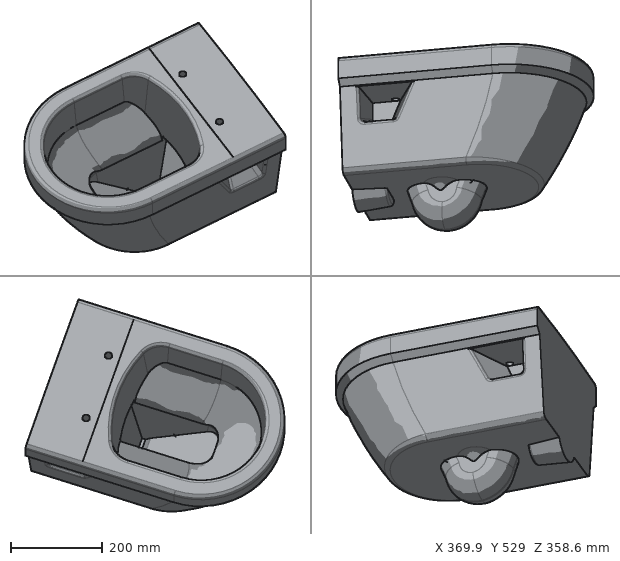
import cadquery as cq
import math


length = 529.0
rim_half_width = 184.95
rim_edge_round = 9.5
rim_height = 65.5
rim_inset = 15.6
rim_inset_height = 14.0
deck_length = 130.0
deck_crown = 4.0
deck_faded_crown = 0.1

body_bottom = -260.5
body_middle = -158.0
body_top_half_width = rim_half_width - rim_inset
body_middle_half_width = 157.0
body_bottom_half_width = 142.5
body_top_front = -length + rim_inset
body_middle_front = -473.5
body_bottom_front = -414.0
body_bottom_round = 15.0

opening_half_width = 141.0
opening_rear = -152.0
opening_front = -487.5
opening_edge_round = 8.0
wall_taper = 7.0
rear_bow_radius = 275.0
rear_corner = 53.0
bed_top = -74.0
bed_top_half_width = 132.5
bed_top_front = -479.0
bed_middle = -108.5
bed_middle_half_width = 108.5
bed_middle_front = -453.5
shoulder = -133.5
shoulder_half_width = 68.0
shoulder_front = -407.5

throat_half_width = 48.0
throat_rear = -164.0
throat_front = -378.0
throat_top = -159.0
throat_corner = 32.0
throat_rise = 13.0
throat_taper = 5.0
well_rear = -197.5
well_front = -216.0
well_length = 8.0
well_bottom = -325.5
well_step = -312.0

trap_half_width = 48.0
trap_bottom = -354.5
trap_bottom_y = -198.5
trap_rear = -114.0
trap_front = -294.0
trap_bend = -288.5
trap_rear_bend = -125.5
trap_front_bend = -280.5
trap_rear_bulge = (-150.0, -332.5)
trap_front_bulge = (-251.5, -337.5)
trap_round = 46.5
flare_centre_x = 35.0
flare_centre_y = -199.5
flare_radius = 43.5
flare_depth = 29.0
flare_tip_radius = 11.5

outlet_radius = 51.0
outlet_bottom = -291.0
outlet_tip_radius = 44.0
outlet_length = 76.5
outlet_edge_round = 5.5

recess_inner_x = 69.0
recess_inner_rear = -51.5
recess_inner_front_top = -114.0
recess_inner_front_bottom = -94.0
recess_inner_bottom = -116.5
recess_outer_x = 174.5
recess_outer_rear = -41.5
recess_outer_front_top = -165.5
recess_outer_front_bottom = -129.5
recess_outer_bottom = -155.5
recess_top = -68.5
recess_corner = 9.5
recess_edge_round = 6.5
hole_diameter = 16.0
hole_x = 77.0
hole_y = -105.0

OVERLAP = 5.5


def d_outline(z, half_width, front):
    """Plan outline: straight sides from the wall and a half-round front."""
    arc_y = front + half_width
    return (
        cq.Workplane("XY", origin=(0, 0, z))
        .moveTo(-half_width, 0)
        .lineTo(-half_width, arc_y)
        .threePointArc((0, front), (half_width, arc_y))
        .lineTo(half_width, 0)
        .close()
    )


def bowl_outline(z, half_width, rear, front, bow_radius, corner):
    """Bowl outline: half-round front and a bowed rear with tangent round corners."""
    bow_y = rear - bow_radius
    corner_x = half_width - corner
    side_y = bow_y + math.sqrt((bow_radius - corner) ** 2 - corner_x**2)
    bow_angle = math.atan2(side_y - bow_y, corner_x)
    end_x = bow_radius * math.cos(bow_angle)
    end_y = bow_y + bow_radius * math.sin(bow_angle)
    middle_x = corner_x + corner * math.cos(bow_angle / 2)
    middle_y = side_y + corner * math.sin(bow_angle / 2)
    arc_y = front + half_width
    return (
        cq.Workplane("XY", origin=(0, 0, z))
        .moveTo(-end_x, end_y)
        .threePointArc((-middle_x, middle_y), (-half_width, side_y))
        .lineTo(-half_width, arc_y)
        .threePointArc((0, front), (half_width, arc_y))
        .lineTo(half_width, side_y)
        .threePointArc((middle_x, middle_y), (end_x, end_y))
        .threePointArc((0, rear), (-end_x, end_y))
        .close()
    )


def loft(sections, ruled):
    wires = [section.val() for section in sections]
    return cq.Workplane(cq.Solid.makeLoft(wires, ruled))


def rim():
    upper = d_outline(rim_inset_height - rim_height, rim_half_width, -length)
    upper = upper.extrude(rim_height - rim_inset_height)
    upper = upper.faces(">Z").edges("not >Y").fillet(rim_edge_round)
    lower = loft(
        [
            d_outline(rim_inset_height - rim_height, rim_half_width, -length),
            d_outline(-rim_height, body_top_half_width, body_top_front),
        ],
        True,
    )
    return upper.union(lower)


def deck():
    """Arched cap of the rear deck, fading out toward the bowl."""
    half_width = rim_half_width - rim_edge_round

    def arch(y, crown):
        return (
            cq.Workplane("XZ", origin=(0, y, 0))
            .moveTo(-half_width, -OVERLAP)
            .lineTo(-half_width, 0)
            .threePointArc((0, crown), (half_width, 0))
            .lineTo(half_width, -OVERLAP)
            .close()
        )

    return loft([arch(0, deck_crown), arch(-deck_length, deck_faded_crown)], True)


def body():
    shell = loft(
        [
            d_outline(-rim_height, body_top_half_width, body_top_front),
            d_outline(body_middle, body_middle_half_width, body_middle_front),
            d_outline(body_bottom, body_bottom_half_width, body_bottom_front),
        ],
        False,
    )
    return shell.faces("<Z").edges("not >Y").fillet(body_bottom_round)


def trap():
    """U-shaped bulge in side profile, with a fully rounded underside."""
    top = body_bottom + OVERLAP
    bulge = (
        cq.Workplane("YZ", origin=(-trap_half_width, 0, 0))
        .moveTo(trap_rear, top)
        .lineTo(trap_rear_bend, trap_bend)
        .threePointArc(trap_rear_bulge, (trap_bottom_y, trap_bottom))
        .threePointArc(trap_front_bulge, (trap_front_bend, trap_bend))
        .lineTo(trap_front, top)
        .close()
        .extrude(2 * trap_half_width)
    )
    return bulge.faces("<X or >X").edges("not >Z").fillet(trap_round)


def flare():
    """Trumpet-shaped blend on the right side of the trap, under the body."""
    run = flare_radius - flare_tip_radius
    bend = math.sin(math.radians(45))
    waist = (flare_radius - bend * run, (bend - 1) * flare_depth)
    horn = (
        cq.Workplane("XZ")
        .moveTo(0, OVERLAP)
        .lineTo(flare_radius, OVERLAP)
        .lineTo(flare_radius, 0)
        .threePointArc(waist, (flare_tip_radius, -flare_depth))
        .lineTo(0, -flare_depth)
        .close()
        .revolve(360, (0, 0, 0), (0, 1, 0))
    )
    return horn.translate((flare_centre_x, flare_centre_y, body_bottom))


def outlet():
    centre_z = outlet_bottom + outlet_radius
    cone = cq.Solid.makeCone(
        outlet_radius,
        outlet_tip_radius,
        outlet_length,
        cq.Vector(0, 0, centre_z),
        cq.Vector(0, -1, 0),
    )
    return cq.Workplane(cone).faces("<Y").edges().fillet(outlet_edge_round)


def basin():
    """Steep wall around the opening, above a curved bed falling toward the throat."""
    inset = -throat_top * math.tan(math.radians(wall_taper))

    def outline(z, shrink):
        return bowl_outline(
            z,
            opening_half_width - shrink,
            opening_rear - shrink,
            opening_front + shrink,
            rear_bow_radius - shrink,
            rear_corner - shrink,
        )

    wall = loft([outline(0, 0), outline(throat_top, inset)], True)
    bed = loft(
        [
            d_outline(bed_top, bed_top_half_width, bed_top_front),
            d_outline(bed_middle, bed_middle_half_width, bed_middle_front),
            d_outline(shoulder, shoulder_half_width, shoulder_front),
            d_outline(throat_top, throat_half_width, throat_front),
        ],
        False,
    )
    above_bed = cq.Workplane("XY", origin=(0, -length / 2, bed_top)).box(
        2 * rim_half_width, length, -bed_top, centered=(True, True, False)
    )
    return wall.intersect(bed.union(above_bed))


def throat():
    """Ramp from the front of the throat down to a narrow well at the rear."""
    funnel = (
        cq.Workplane("XY", origin=(0, (throat_rear + throat_front) / 2, throat_top))
        .rect(2 * throat_half_width, throat_rear - throat_front)
        .extrude(well_bottom - throat_top, taper=throat_taper)
        .faces("<Y")
        .edges("not (<Z or >Z)")
        .fillet(throat_corner)
    )
    neck = funnel.faces(">Z").wires().toPending().extrude(throat_rise)
    side = (
        cq.Workplane("YZ", origin=(-throat_half_width, 0, 0))
        .moveTo(throat_rear, throat_top + throat_rise)
        .lineTo(throat_rear, throat_top)
        .lineTo(well_rear, well_bottom)
        .lineTo(well_rear - well_length, well_bottom)
        .lineTo(well_front, well_step)
        .lineTo(throat_front, throat_top)
        .lineTo(throat_front, throat_top + throat_rise)
        .close()
        .extrude(2 * throat_half_width)
    )
    return neck.intersect(side)


def recess():
    """Hand recess in the right side, narrowing and rising inward."""

    def section(x, rear, front_top, front_bottom, bottom):
        return (
            cq.Workplane("YZ", origin=(x, 0, 0))
            .polyline(
                [
                    (rear, recess_top),
                    (front_top, recess_top),
                    (front_bottom, bottom),
                    (rear, bottom),
                ]
            )
            .close()
        )

    pocket = loft(
        [
            section(
                recess_inner_x,
                recess_inner_rear,
                recess_inner_front_top,
                recess_inner_front_bottom,
                recess_inner_bottom,
            ),
            section(
                recess_outer_x,
                recess_outer_rear,
                recess_outer_front_top,
                recess_outer_front_bottom,
                recess_outer_bottom,
            ),
        ],
        True,
    )
    return pocket.faces("<Z").edges("not (<X or >X)").fillet(recess_corner)


def seat_hole():
    """Hole through the deck into the recess below it."""
    return (
        cq.Workplane("XY", origin=(hole_x, hole_y, recess_top - OVERLAP))
        .circle(hole_diameter / 2)
        .extrude(OVERLAP - recess_top + 2 * deck_crown)
    )


def other_side(right):
    return right.mirror("YZ")


def opening_edge(part):
    """The edge loop where the basin meets the flat rim."""
    margin = 0.5
    loop = cq.selectors.BoxSelector(
        (-opening_half_width - margin, opening_front - margin, -margin),
        (opening_half_width + margin, opening_rear + margin, margin),
        boundingbox=True,
    )
    return part.edges(loop)


def recess_mouths(part):
    """The edges where both recesses meet the sides of the body."""
    mouth_x = body_bottom_half_width
    low = (mouth_x, recess_outer_front_top - OVERLAP, recess_outer_bottom - OVERLAP)
    high = (rim_half_width, recess_outer_rear + OVERLAP, recess_top - OVERLAP / 2)
    right = cq.selectors.BoxSelector(low, high)
    left = cq.selectors.BoxSelector((-low[0], *low[1:]), (-high[0], *high[1:]))
    return part.edges(right + left)


shell = rim().union(deck()).union(body())
shell = shell.union(flare()).union(other_side(flare()))
shell = shell.union(trap()).union(outlet())
shell = shell.cut(recess()).cut(other_side(recess()))
shell = recess_mouths(shell).fillet(recess_edge_round)
shell = opening_edge(shell.cut(basin())).fillet(opening_edge_round)
shell = shell.cut(throat())
result = shell.cut(seat_hole()).cut(other_side(seat_hole()))